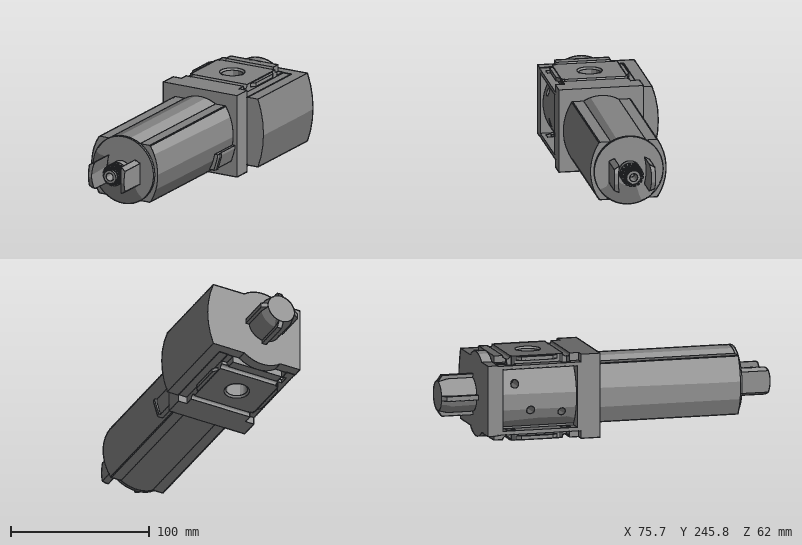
import cadquery as cq
import math


TOTAL_LENGTH = 245.8
HEAD_SIZE = 62.0
HEAD_HALF = HEAD_SIZE / 2
HEAD_BACK = 84.3
FLANGE_BACK = 14.3
BACK_PLATE_FRONT = 76.7
FRAME_HALF_Z = 25.3
PLATE_HALF_Z = 25.8
CORE_HALF_X = 24.0
COVER_RIGHT = 44.7
COVER_ARC_START = 40.0
BUMP_HALF_X = 14.7

LUG_HALF_X = 20.0
LUG_FRONT = 67.8
SHELF_Z = 26.0
GROOVE_YS = (23.4, 67.5)
GROOVE_HALF_WIDTH = 2.5
GROOVE_DEPTH = 2.5
BULGE_FRONT = 30.5
BULGE_BACK = 61.5
BULGE_OUT = 2.7
BULGE_SLOPE = 3.7
BULGE_TOP = 30.5
BULGE_BOTTOM = 27.8
PORT_Y = 45.5
PORT_DIAMETER = 15.7
PORT_MOUTH_DIAMETER = 18.5
PORT_DEPTH = 19.7

WINDOW_FRONT = 17.2
WINDOW_BACK = 73.0
WINDOW_HALF_Z = 22.5
WINDOW_FLOOR_X = -21.5
INSERT_HALF_Z = 21.1
INSERT_PEAK_X = -29.0
INSERT_HOLES = ((63.2, 11.0, 6.0), (51.5, -8.5, 6.0), (27.8, -11.0, 5.5))
INSERT_HOLE_BOTTOM_X = -12.3
SLOT_YS = (24.5, 66.1)
SLOT_LEFT = -27.5
SLOT_RIGHT = -23.5
SLOT_LENGTH = 7.0
SLOT_STEM_RIGHT = -22.0
SLOT_STEM_LENGTH = 3.7

DOME_RADIUS = 26.5
DOME_HEIGHT = 4.0
KNOB_END = 113.3
KNOB_RADIUS = 12.5
KNOB_TOP_RADIUS = 10.8
KNOB_SHOULDER = 106.5
FIN_RADIUS = 15.0
FIN_THICKNESS = 3.5
FIN_SHOULDER = 110.5

BOWL_DIAMETER = 50.5
BOWL_RADIUS = BOWL_DIAMETER / 2
BOWL_FLAT_Z = 21.6
BOWL_CORNER_X = 21.5
BOWL_SIDE_X = 27.8
BOWL_CORNER_CHAMFER = 0.5
BOWL_END = -106.5
RIM_RADIUS = 25.3
RIM_END = -108.5
CAP_RADIUS = 25.0
CAP_FLAT_RADIUS = 10.8
CAP_END = -110.9

STEM_RADIUS = 7.9
STEM_END = -116.0
BARB_CORE_RADIUS = 6.0
BARB_YS = (-118.7, -121.0, -123.2)
BARB_THICKNESS = 1.2
BARB_SLOTS = 16
BARB_SLOT_WIDTH = 1.5
BARB_CORE_END = -125.4
TIP_RADIUS = 5.2
BORE_DIAMETER = 6.0
TIP_END = -127.5

TAB_END = KNOB_END - TOTAL_LENGTH
TAB_OUTER_X = 15.0
TAB_INNER_EDGE_X = 11.0
TAB_INNER_MID_X = 12.3
TAB_OUTER_HALF_Z = 7.9
TAB_INNER_HALF_Z = 10.0
TAB_CORNER = 2.5
TAB_END_CROWN = 2.2

CATCH_TOP_Z = -7.1
CATCH_BEND_Z = -9.5
CATCH_BOTTOM_Z = -19.5
CATCH_SLOPE_X = 3.0
CATCH_REACH = 29.3
CATCH_END = -25.0
NUB_START = -21.6
NUB_REACH = 30.7
NUB_CHAMFER = 1.2


def block(x0, x1, y0, y1, z0, z1):
    """Axis-aligned box between two corners."""
    return cq.Workplane("XY").box(x1 - x0, y1 - y0, z1 - z0, centered=False).translate((x0, y0, z0))


def section(y0, y1):
    """Workplane on the plane Y = y1 and the distance to extrude it to Y = y0."""
    return cq.Workplane("XZ", origin=(0, y1, 0)), y1 - y0


def disc(radius, y0, y1):
    """Cylinder about the main axis."""
    plane, length = section(y0, y1)
    return plane.circle(radius).extrude(length)


def on_both_z(shape):
    """A shape together with its mirror image below Z = 0."""
    return shape.union(shape.mirror("XY"))


def head_blocks():
    flange = block(-HEAD_HALF, HEAD_HALF, 0, FLANGE_BACK, -HEAD_HALF, HEAD_HALF)
    frames = block(-HEAD_HALF, HEAD_HALF, FLANGE_BACK, BACK_PLATE_FRONT, -FRAME_HALF_Z, FRAME_HALF_Z)
    core = block(-CORE_HALF_X, CORE_HALF_X, FLANGE_BACK, BACK_PLATE_FRONT, -HEAD_HALF, HEAD_HALF)
    back_plate = block(-HEAD_HALF, HEAD_HALF, BACK_PLATE_FRONT, HEAD_BACK, -PLATE_HALF_Z, PLATE_HALF_Z)
    return flange.union(frames).union(core).union(back_plate)


def back_bump():
    plane, length = section(BACK_PLATE_FRONT, HEAD_BACK)
    return (plane.moveTo(-BUMP_HALF_X, 0)
            .lineTo(-BUMP_HALF_X, PLATE_HALF_Z)
            .threePointArc((0, HEAD_HALF), (BUMP_HALF_X, PLATE_HALF_Z))
            .lineTo(BUMP_HALF_X, 0)
            .close().extrude(length))


def gauge_cover():
    plane, length = section(FLANGE_BACK, HEAD_BACK)
    return (plane.moveTo(HEAD_HALF, -PLATE_HALF_Z)
            .lineTo(COVER_ARC_START, -PLATE_HALF_Z)
            .threePointArc((COVER_RIGHT, 0), (COVER_ARC_START, PLATE_HALF_Z))
            .lineTo(HEAD_HALF, PLATE_HALF_Z)
            .close().extrude(length))


def side_bulges():
    half_width = CORE_HALF_X + BULGE_OUT
    return (cq.Workplane("XY", origin=(0, 0, BULGE_BOTTOM))
            .polyline([(-CORE_HALF_X, BULGE_FRONT), (-half_width, BULGE_FRONT + BULGE_SLOPE),
                       (-half_width, BULGE_BACK - BULGE_SLOPE), (-CORE_HALF_X, BULGE_BACK),
                       (CORE_HALF_X, BULGE_BACK), (half_width, BULGE_BACK - BULGE_SLOPE),
                       (half_width, BULGE_FRONT + BULGE_SLOPE), (CORE_HALF_X, BULGE_FRONT)])
            .close().extrude(BULGE_TOP - BULGE_BOTTOM))


def shelf_cut(side):
    """Lowered corner of the raised block beside the back lug."""
    left, right = sorted((side * LUG_HALF_X, side * CORE_HALF_X))
    return block(left, right, LUG_FRONT, BACK_PLATE_FRONT, SHELF_Z, HEAD_HALF)


def groove_cut(y):
    return (cq.Workplane("YZ", origin=(-CORE_HALF_X, 0, 0))
            .moveTo(y - GROOVE_HALF_WIDTH, HEAD_HALF)
            .threePointArc((y, HEAD_HALF - GROOVE_DEPTH), (y + GROOVE_HALF_WIDTH, HEAD_HALF))
            .close().extrude(2 * CORE_HALF_X))


def slot_cut(y):
    """T-shaped opening through the window wall, its stem reaching into the raised block."""
    slot = block(SLOT_LEFT, SLOT_RIGHT, y - SLOT_LENGTH / 2, y + SLOT_LENGTH / 2,
                 WINDOW_HALF_Z, HEAD_HALF)
    stem = block(SLOT_RIGHT, SLOT_STEM_RIGHT, y - SLOT_STEM_LENGTH / 2, y + SLOT_STEM_LENGTH / 2,
                 WINDOW_HALF_Z, HEAD_HALF)
    return slot.union(stem)


def port_cut():
    chamfer = (PORT_MOUTH_DIAMETER - PORT_DIAMETER) / 2
    bore = (cq.Workplane("XY", origin=(0, PORT_Y, HEAD_HALF - PORT_DEPTH))
            .circle(PORT_DIAMETER / 2).extrude(PORT_DEPTH))
    mouth = (cq.Workplane("XY", origin=(0, PORT_Y, HEAD_HALF))
             .circle(PORT_MOUTH_DIAMETER / 2)
             .workplane(offset=-chamfer).circle(PORT_DIAMETER / 2).loft())
    return bore.union(mouth)


def window_cut():
    """Recess in the left frame that leaves a convex insert with three blind holes."""
    recess = block(-HEAD_HALF, WINDOW_FLOOR_X, WINDOW_FRONT, WINDOW_BACK, -WINDOW_HALF_Z, WINDOW_HALF_Z)
    plane, length = section(WINDOW_FRONT, WINDOW_BACK)
    insert = (plane.moveTo(WINDOW_FLOOR_X, -INSERT_HALF_Z)
              .threePointArc((INSERT_PEAK_X, 0), (WINDOW_FLOOR_X, INSERT_HALF_Z))
              .close().extrude(length))
    recess = recess.cut(insert)
    for y, z, diameter in INSERT_HOLES:
        hole = (cq.Workplane("YZ", origin=(-HEAD_HALF, y, z))
                .circle(diameter / 2).extrude(INSERT_HOLE_BOTTOM_X + HEAD_HALF))
        recess = recess.union(hole)
    return recess


def dome():
    """Spherical cap on the back of the head."""
    sphere_radius = (DOME_RADIUS ** 2 + DOME_HEIGHT ** 2) / (2 * DOME_HEIGHT)
    apex = HEAD_BACK + DOME_HEIGHT
    middle = DOME_RADIUS / 2
    middle_y = apex - sphere_radius + math.sqrt(sphere_radius ** 2 - middle ** 2)
    return (cq.Workplane("XY")
            .moveTo(0, HEAD_BACK).lineTo(DOME_RADIUS, HEAD_BACK)
            .threePointArc((middle, middle_y), (0, apex))
            .close().revolve(360, (0, 0), (0, 1)))


def knob():
    core = (cq.Workplane("XY")
            .moveTo(0, HEAD_BACK).lineTo(KNOB_RADIUS, HEAD_BACK)
            .lineTo(KNOB_RADIUS, KNOB_SHOULDER)
            .lineTo(KNOB_TOP_RADIUS, KNOB_END).lineTo(0, KNOB_END)
            .close().revolve(360, (0, 0), (0, 1)))
    fin = (cq.Workplane("XY", origin=(0, 0, -FIN_THICKNESS / 2))
           .moveTo(-FIN_RADIUS, HEAD_BACK).lineTo(FIN_RADIUS, HEAD_BACK)
           .lineTo(FIN_RADIUS, FIN_SHOULDER).lineTo(KNOB_TOP_RADIUS, KNOB_END)
           .lineTo(-KNOB_TOP_RADIUS, KNOB_END).lineTo(-FIN_RADIUS, FIN_SHOULDER)
           .close().extrude(FIN_THICKNESS))
    return core.union(fin).union(fin.rotate((0, 0, 0), (0, 1, 0), 90))


def make_head():
    head = head_blocks().union(gauge_cover())
    head = head.union(on_both_z(back_bump())).union(on_both_z(side_bulges()))
    head = head.union(dome()).union(knob())
    for side in (-1, 1):
        head = head.cut(on_both_z(shelf_cut(side)))
    for y in GROOVE_YS:
        head = head.cut(on_both_z(groove_cut(y)))
    for y in SLOT_YS:
        head = head.cut(on_both_z(slot_cut(y)))
    return head.cut(on_both_z(port_cut())).cut(window_cut())


def bowl_shell():
    """Cylinder merged with a prism that is flat above and below and arched at the sides."""
    plane, length = section(BOWL_END, 0)
    sides = (plane.moveTo(-BOWL_CORNER_X, -BOWL_FLAT_Z)
             .lineTo(BOWL_CORNER_X, -BOWL_FLAT_Z)
             .threePointArc((BOWL_SIDE_X, 0), (BOWL_CORNER_X, BOWL_FLAT_Z))
             .lineTo(-BOWL_CORNER_X, BOWL_FLAT_Z)
             .threePointArc((-BOWL_SIDE_X, 0), (-BOWL_CORNER_X, -BOWL_FLAT_Z))
             .close().extrude(length)
             .edges("|Y").chamfer(BOWL_CORNER_CHAMFER))
    return sides.union(disc(BOWL_RADIUS, BOWL_END, 0))


def bowl_cap():
    return (cq.Workplane("XY")
            .polyline([(0, BOWL_END), (RIM_RADIUS, BOWL_END), (RIM_RADIUS, RIM_END),
                       (CAP_RADIUS, RIM_END), (CAP_FLAT_RADIUS, CAP_END), (0, CAP_END)])
            .close().revolve(360, (0, 0), (0, 1)))


def connector():
    """Hollow stem with three toothed barb rings on a slimmer core."""
    barbs = disc(BARB_CORE_RADIUS, BARB_CORE_END, STEM_END)
    for y in BARB_YS:
        barbs = barbs.union(disc(STEM_RADIUS, y - BARB_THICKNESS / 2, y + BARB_THICKNESS / 2))
    for index in range(BARB_SLOTS):
        slot = block(BARB_CORE_RADIUS, STEM_RADIUS, BARB_CORE_END, STEM_END,
                     -BARB_SLOT_WIDTH / 2, BARB_SLOT_WIDTH / 2)
        barbs = barbs.cut(slot.rotate((0, 0, 0), (0, 1, 0), index * 360 / BARB_SLOTS))
    body = disc(STEM_RADIUS, STEM_END, CAP_END).union(barbs).union(disc(TIP_RADIUS, TIP_END, BARB_CORE_END))
    return body.cut(disc(BORE_DIAMETER / 2, TIP_END, STEM_END))


def guard_tab():
    plane, length = section(TAB_END, BOWL_END)
    bar = (plane.moveTo(TAB_INNER_EDGE_X, -TAB_INNER_HALF_Z)
           .lineTo(TAB_OUTER_X, -TAB_OUTER_HALF_Z).lineTo(TAB_OUTER_X, TAB_OUTER_HALF_Z)
           .lineTo(TAB_INNER_EDGE_X, TAB_INNER_HALF_Z)
           .threePointArc((TAB_INNER_MID_X, 0), (TAB_INNER_EDGE_X, -TAB_INNER_HALF_Z))
           .close().extrude(length))
    crown_start = TAB_END + TAB_END_CROWN
    outline = (cq.Workplane("YZ")
               .moveTo(BOWL_END, -TAB_INNER_HALF_Z).lineTo(crown_start, -TAB_INNER_HALF_Z)
               .threePointArc((TAB_END, 0), (crown_start, TAB_INNER_HALF_Z))
               .lineTo(BOWL_END, TAB_INNER_HALF_Z)
               .close().extrude(TAB_OUTER_X))
    return bar.intersect(outline.edges("|X and (not >Y)").fillet(TAB_CORNER))


def catch_strip(reach, y0, y1):
    """Strip along the bowl side; reach is its outermost X."""
    plane, length = section(y0, y1)
    return (plane.polyline([(BOWL_CORNER_X, CATCH_BOTTOM_Z), (reach - CATCH_SLOPE_X, CATCH_BOTTOM_Z),
                            (reach, CATCH_BEND_Z), (reach, CATCH_TOP_Z), (BOWL_CORNER_X, CATCH_TOP_Z)])
            .close().extrude(length))


def make_bowl():
    tab = guard_tab()
    bowl = bowl_shell().union(bowl_cap()).union(connector())
    bowl = bowl.union(tab).union(tab.mirror("YZ"))
    bowl = bowl.union(catch_strip(CATCH_REACH, CATCH_END, 0))
    nub = catch_strip(NUB_REACH, CATCH_END, NUB_START)
    return bowl.union(nub.faces("<Y").edges("not (<X or |X)").chamfer(NUB_CHAMFER))


head = make_head()
bowl = make_bowl()
result = cq.Compound.makeCompound([head.val(), bowl.val()])